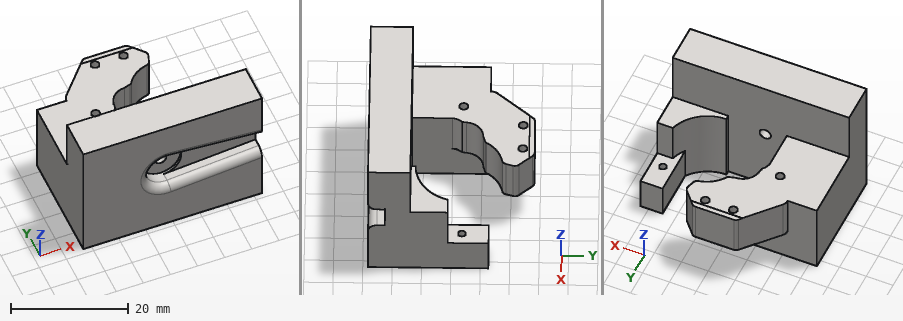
import cadquery as cq
import math

width = 32.99
height = 24.52
plate_thickness = 7.2
body_back = 20.53
shelf_height = 14.37
left_body_width = 11.66

arm_bottom = 6.5
arm_back = 28.17
arm_foot_x = 5.49
arm_back_left_x = 11.68
arm_back_right_x = 19.71
arm_side_angle = math.radians(48.4)
arm_tip = (22.43, 25.09)
arm_tip_inner = (21.68, 22.76)
arm_foot_radius = 1.55
arm_corner_radius = 1.0
arm_tip_inner_radius = 0.9
outer_scallop_middle = (18.95, 21.79)
scallop_corner = (17.03, 19.78)
scallop_corner_radius = 0.5
inner_scallop_start = (15.65, 19.4)
inner_scallop_middle = (13.5, 18.48)
inner_scallop_end = (12.57, 16.47)
throat_start = (12.45, 15.74)
throat_middle = (11.95, 15.04)
throat_end = (left_body_width, 14.08)

lip_width = 0.91
lip_drop = 0.05

corner_left = 22.59
corner_web = 0.8
corner_back = 13.58
corner_arc_end_x = 30.07
post_left = 28.85
post_height = arm_bottom

pocket_x = 15.69
pocket_z = 12.9
pocket_radius = 3.6
pocket_depth = 2.9
pocket_taper = math.radians(5.15)
pocket_edge_radius = 1.5
bore_depth = 3.4
plate_hole_diameter = 2.1

arm_hole_diameter = 1.5
arm_hole_points = [(13.07, 26.17), (18.32, 26.17), (8.94, 15.97)]
post_hole_diameter = 1.3
post_hole_point = (30.85, 15.97)


def box(x0, x1, y0, y1, z0, z1):
    """Box between two opposite corners."""
    return cq.Workplane("XY").box(x1 - x0, y1 - y0, z1 - z0, centered=False).translate((x0, y0, z0))


def bore_from_front(diameter, depth):
    """Cylinder running back from the front face on the pocket axis."""
    return (
        cq.Workplane("XZ")
        .center(pocket_x, pocket_z)
        .circle(diameter / 2)
        .extrude(-depth)
    )


def make_pocket():
    """Teardrop pocket: a round end with two straight sides closing toward the right."""
    touch_x = pocket_x + pocket_radius * math.sin(pocket_taper)
    touch_rise = pocket_radius * math.cos(pocket_taper)
    end_rise = touch_rise - (width - touch_x) * math.tan(pocket_taper)
    return (
        cq.Workplane("XZ")
        .moveTo(width, pocket_z + end_rise)
        .lineTo(touch_x, pocket_z + touch_rise)
        .threePointArc((pocket_x - pocket_radius, pocket_z), (touch_x, pocket_z - touch_rise))
        .lineTo(width, pocket_z - end_rise)
        .close()
        .extrude(-pocket_depth)
    )


def make_plate():
    """Front plate with the pocket, its rounded rim, the round bore and the small through hole."""
    plate = box(0, width, 0, plate_thickness, 0, height).cut(make_pocket())
    rim = cq.selectors.BoxSelector(
        (pocket_x - 2 * pocket_radius, -pocket_edge_radius, pocket_z - 2 * pocket_radius),
        (width - pocket_edge_radius, pocket_edge_radius, pocket_z + 2 * pocket_radius),
    )
    plate = plate.faces("<Y").edges(rim).fillet(pocket_edge_radius)
    plate = plate.cut(bore_from_front(2 * pocket_radius, bore_depth))
    return plate.cut(bore_from_front(plate_hole_diameter, plate_thickness))


def make_arm():
    """Hooked arm with scalloped inner side, rounded corners and a slightly lowered back lip."""
    foot_slope_y = arm_back - (arm_back_left_x - arm_foot_x) * math.tan(arm_side_angle)
    arm = (
        cq.Workplane("XY")
        .workplane(offset=arm_bottom)
        .moveTo(arm_foot_x, plate_thickness)
        .lineTo(arm_foot_x, foot_slope_y)
        .lineTo(arm_back_left_x, arm_back)
        .lineTo(arm_back_right_x, arm_back)
        .lineTo(*arm_tip)
        .lineTo(*arm_tip_inner)
        .threePointArc(outer_scallop_middle, scallop_corner)
        .lineTo(*inner_scallop_start)
        .threePointArc(inner_scallop_middle, inner_scallop_end)
        .lineTo(*throat_start)
        .threePointArc(throat_middle, throat_end)
        .lineTo(left_body_width, plate_thickness)
        .close()
        .extrude(shelf_height - arm_bottom)
    )
    rounded_corners = [
        ((arm_foot_x, foot_slope_y), arm_foot_radius),
        ((arm_back_left_x, arm_back), arm_corner_radius),
        ((arm_back_right_x, arm_back), arm_corner_radius),
        (arm_tip, arm_corner_radius),
        (arm_tip_inner, arm_tip_inner_radius),
        (scallop_corner, scallop_corner_radius),
    ]
    mid_height = (arm_bottom + shelf_height) / 2
    for (x, y), radius in rounded_corners:
        arm = arm.edges(cq.selectors.NearestToPointSelector((x, y, mid_height))).fillet(radius)
    lip = box(0, width, arm_back - lip_width, arm_back, shelf_height - lip_drop, shelf_height)
    return arm.cut(lip)


def make_corner():
    """Corner block whose inner side is an arc leaving parallel to the plate."""
    start_y = plate_thickness + corner_web
    run = corner_arc_end_x - corner_left
    rise = corner_back - start_y
    radius = (run**2 + rise**2) / (2 * rise)
    return (
        cq.Workplane("XY")
        .moveTo(corner_left, plate_thickness)
        .lineTo(corner_left, start_y)
        .radiusArc((corner_arc_end_x, corner_back), -radius)
        .lineTo(width, corner_back)
        .lineTo(width, plate_thickness)
        .close()
        .extrude(shelf_height)
    )


def vertical_holes(points, diameter):
    """Cylinders running the full height of the part, to be cut as through holes."""
    return cq.Workplane("XY").pushPoints(points).circle(diameter / 2).extrude(height)


left_body = box(0, left_body_width, plate_thickness, body_back, 0, shelf_height)
post = box(post_left, width, plate_thickness, body_back, 0, post_height)

result = make_plate().union(left_body).union(make_arm()).union(make_corner()).union(post)
result = result.cut(vertical_holes(arm_hole_points, arm_hole_diameter))
result = result.cut(vertical_holes([post_hole_point], post_hole_diameter))